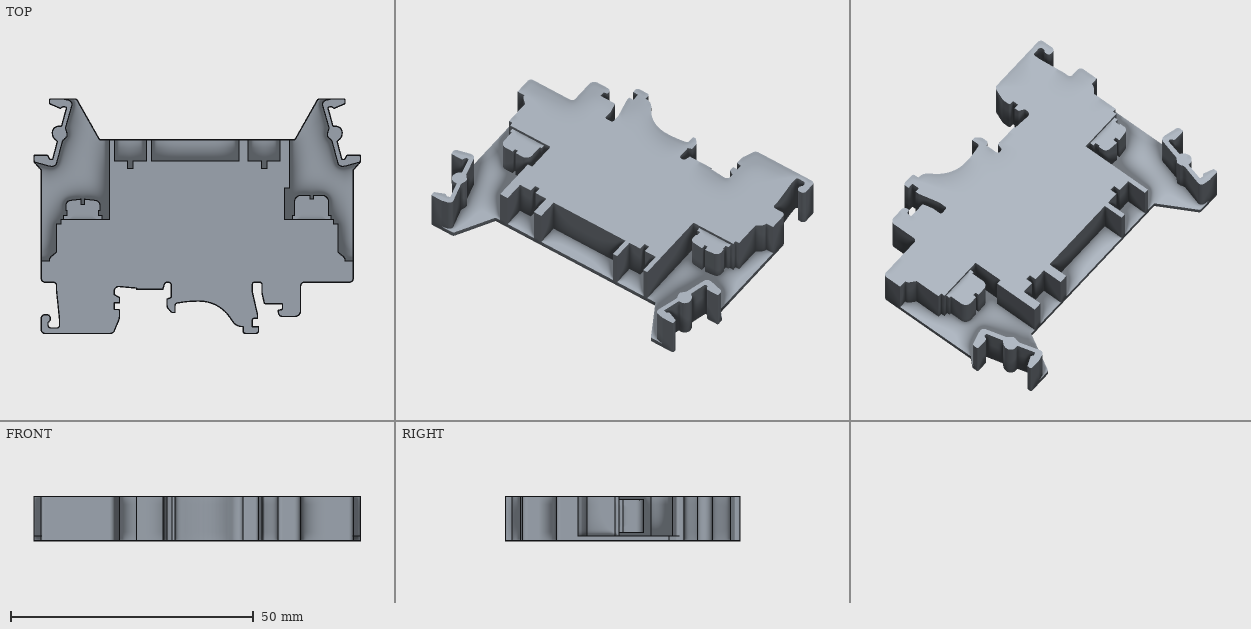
import math

import cadquery as cq


WIDTH = 67.33
HEIGHT = 48.4
THICKNESS = 9.2
PLATE = 1.05

HALF_WIDTH = WIDTH / 2
FLANK = 32.2
TOP_EDGE = 40.0
SHOULDER = 10.56
WALL_ROUND = 0.85

WING_ROOT_X = 20.15
WING_TOP_X = 24.9
CHIN_Y = 35.38
CHIN_FOOT_Y = 33.75
HOOK_LOW_TOP = 36.8
HOOK_LOW_FLAT = 36.1
PIVOT_X = -29.9
HOOK_TIP_X = 30.5

FOOT_RIGHT_X = -16.0
FOOT_NOTCH_X = -17.1
RAIL_SEAT_Y = 9.08
LATCH_Y = 3.5
LATCH_RIGHT_X = 21.33
LATCH_SEAT_Y = 6.1
LEG_LEFT_X = 9.47
LEG_RIGHT_X = 12.66
LEG_STEP_Y = 1.4
LEG_NOTCH_X = 11.39
ARCH_TOP = 6.66

LEFT_RECESS_X = 18.1
RIGHT_RECESS_X = 19.0
RIGHT_NICHE_X = 17.94
RIGHT_NICHE_TOP = 30.05
SCREW_SEAT_Y = 23.46
SEAT_END_X = 28.13
SEAT_STEP_Y = 22.6
FUNNEL_X = 29.0
FUNNEL_TOP_Y = 16.8
FUNNEL_END_X = 30.5
FUNNEL_END_Y = 15.55
FUNNEL_ROUND = 1.1
RECESS_BOTTOM_Y = 15.0
OVERSHOOT = 3.0

POCKET_FLOOR_Y = 35.56
KEY_FLOOR_Y = 34.05
SIDE_POCKET_X = 13.8
SIDE_POCKET_WIDTH = 6.6
KEY_WIDTH = 1.15
MID_POCKET_LEFT = -9.45
MID_POCKET_RIGHT = 8.63

SCREW_X = 23.57
SCREW_MARGIN = 0.68
WASHER_HALF = 3.97
WASHER_TOP_Y = 24.3
HEAD_HALF = 3.53
NECK_HALF = 3.25
SCREW_ROOT = 0.5
NECK_TOP_Y = 25.37
LEFT_HEAD_TOP_Y = 27.7
RIGHT_HEAD_TOP_Y = 28.5
DRIVE_SLOT_HALF = 0.37
LEFT_SLOT_FLOOR_Y = 26.65
RIGHT_SLOT_FLOOR_Y = 27.7


def prism(corners, z_low, z_high):
    """Extrude a closed outline whose corners are (x, y) or (x, y, rounding radius)."""
    spans = []
    count = len(corners)
    for i, corner in enumerate(corners):
        x, y = corner[:2]
        radius = corner[2] if len(corner) > 2 else 0
        if not radius:
            spans.append(((x, y), None, (x, y)))
            continue
        before = cq.Vector(*corners[i - 1][:2]) - cq.Vector(x, y)
        after = cq.Vector(*corners[(i + 1) % count][:2]) - cq.Vector(x, y)
        half_angle = before.getAngle(after) / 2
        setback = radius / math.tan(half_angle)
        to_arc = radius / math.sin(half_angle) - radius
        apex = cq.Vector(x, y)
        start = apex + before.normalized() * setback
        end = apex + after.normalized() * setback
        middle = apex + (before.normalized() + after.normalized()).normalized() * to_arc
        spans.append((start.toTuple()[:2], middle.toTuple()[:2], end.toTuple()[:2]))

    path = cq.Workplane("XY").workplane(offset=z_low).moveTo(*spans[0][2])
    for start, middle, end in spans[1:] + spans[:1]:
        path = path.lineTo(*start)
        if middle:
            path = path.threePointArc(middle, end)
    return path.wire().extrude(z_high - z_low)


def mirrored(corners):
    """Reflect corners in the YZ plane."""
    return [(-corner[0], *corner[1:]) for corner in corners]


def carrier_edge():
    """Outer edge of the left wing, from the flank up to the middle of the block."""
    return [
        (-FLANK, CHIN_FOOT_Y),
        (-HALF_WIDTH, CHIN_Y, 0.4),
        (-HALF_WIDTH, HOOK_LOW_TOP, 0.25),
        (-30.85, HOOK_LOW_TOP, 0.5),
        (-30.4, 35.9, 0.3),
        (-29.82, 35.9, 0.3),
        (-28.87, 39.65),
        (PIVOT_X, 40.5, 1.8),
        (PIVOT_X, 42.75, 1.35),
        (-28.0, 42.75),
        (-26.95, 46.6),
        (-27.65, 46.8, 0.2),
        (-28.2, 46.4),
        (-HOOK_TIP_X, 47.38, 0.3),
        (-HOOK_TIP_X, HEIGHT, 0.3),
        (-WING_TOP_X, HEIGHT, 0.6),
        (-WING_ROOT_X, TOP_EDGE),
    ]


def carrier_back():
    """Inner face of the left carrier, from its top down to the lower hook tip."""
    return [
        (-27.9, HEIGHT),
        (-25.6, 47.9, 0.9),
        (-27.15, 42.5),
        (-27.1, 42.0),
        (-26.88, 41.4),
        (-26.88, 40.65),
        (-27.78, 39.7),
        (-29.2, 34.45, 0.9),
        (-30.4, 34.5),
        (-HALF_WIDTH, CHIN_Y, 0.6),
        (-HALF_WIDTH, HOOK_LOW_FLAT),
    ]


def rail_edge():
    """Lower edge of the block, from the left flank to the right flank."""
    left_hook = [
        (-FLANK, SHOULDER, WALL_ROUND),
        (-29.0, SHOULDER, 0.65),
        (-29.05, 9.0),
        (-28.42, 2.9),
        (-28.42, 1.17, 0.45),
        (-30.75, 1.17, 0.6),
        (-30.75, 2.25),
        (-30.3, 2.75),
        (-30.3, 3.9, 0.7),
        (-FLANK, 3.9, 0.8),
        (-FLANK, 0, 0.8),
    ]
    fixed_foot = [
        (-17.3, 0, 1.0),
        (FOOT_RIGHT_X, 3.2, 2.5),
        (FOOT_RIGHT_X, 5.0, 0.3),
        (FOOT_NOTCH_X, 5.0),
        (FOOT_NOTCH_X, 6.3),
        (FOOT_RIGHT_X, 6.3),
        (FOOT_RIGHT_X, 7.4, 0.3),
        (FOOT_NOTCH_X, 8.05),
        (FOOT_NOTCH_X, 9.75, 0.9),
        (-12.5, 9.35),
        (-12.5, RAIL_SEAT_Y),
    ]
    tooth = [
        (-7.1, RAIL_SEAT_Y),
        (-6.65, SHOULDER, 0.6),
        (-5.4, SHOULDER, 0.55),
        (-5.4, 7.45),
        (-6.26, 7.1, 0.2),
        (-6.26, 5.4, 1.3),
        (-5.25, 4.33),
        (-4.54, 4.33),
    ]
    arch = [
        (-4.54, 6.2, 0.45),
        (-1.78, ARCH_TOP, 20.0),
        (4.42, ARCH_TOP, 7.5),
        (8.05, LEG_STEP_Y, 2.4),
    ]
    spring_leg = [
        (LEG_LEFT_X, LEG_STEP_Y),
        (LEG_LEFT_X, 0, 0.45),
        (LEG_RIGHT_X, 0, 0.6),
        (LEG_RIGHT_X, LEG_STEP_Y),
        (LEG_NOTCH_X, LEG_STEP_Y),
        (LEG_NOTCH_X, 3.1, 0.25),
        (12.45, 3.1),
        (12.45, 3.9),
        (LEG_NOTCH_X, 8.5),
        (LEG_NOTCH_X, SHOULDER, 0.4),
    ]
    latch = [
        (13.32, SHOULDER, 0.4),
        (13.32, 8.4),
        (13.85, LATCH_SEAT_Y, 0.4),
        (17.57, LATCH_SEAT_Y),
        (17.57, 5.0, 0.25),
        (16.7, 4.8),
        (16.7, LATCH_Y, 0.9),
        (LATCH_RIGHT_X, LATCH_Y, 1.2),
        (LATCH_RIGHT_X, SHOULDER, 0.75),
        (FLANK, SHOULDER, WALL_ROUND),
    ]
    return left_hook + fixed_foot + tooth + arch + spring_leg + latch


def housing():
    left_wing = carrier_edge()
    outline = rail_edge() + mirrored(left_wing) + left_wing[::-1]
    return prism(outline, 0, THICKNESS)


def funnel_edge():
    """Left wall of the main body under the screw seat, from the flank upward."""
    return [
        (-HALF_WIDTH - OVERSHOOT, RECESS_BOTTOM_Y),
        (-FUNNEL_END_X, RECESS_BOTTOM_Y),
        (-FUNNEL_END_X, FUNNEL_END_Y, FUNNEL_ROUND),
        (-FUNNEL_X, FUNNEL_TOP_Y),
        (-FUNNEL_X, SEAT_STEP_Y),
        (-SEAT_END_X, SEAT_STEP_Y),
        (-SEAT_END_X, SCREW_SEAT_Y),
    ]


def carrier_clearance():
    """Left recess edge that follows the back of the carrier and then clears the flank."""
    back = carrier_back()
    above_top = (back[0][0], HEIGHT + OVERSHOOT)
    outside_hook = (-HALF_WIDTH - OVERSHOOT, HOOK_LOW_FLAT)
    return [above_top, *back, outside_hook]


def left_recess():
    outline = funnel_edge() + [
        (-LEFT_RECESS_X, SCREW_SEAT_Y),
        (-LEFT_RECESS_X, HEIGHT + OVERSHOOT),
    ]
    outline += carrier_clearance()
    return prism(outline, PLATE, THICKNESS)


def right_recess():
    inner_wall = [
        (RIGHT_NICHE_X, SCREW_SEAT_Y),
        (RIGHT_NICHE_X, RIGHT_NICHE_TOP),
        (RIGHT_RECESS_X, RIGHT_NICHE_TOP),
        (RIGHT_RECESS_X, HEIGHT + OVERSHOOT),
    ]
    outline = mirrored(funnel_edge()) + inner_wall + mirrored(carrier_clearance())
    return prism(outline, PLATE, THICKNESS)


def pocket(left, right):
    return prism(
        [
            (left, POCKET_FLOOR_Y),
            (right, POCKET_FLOOR_Y),
            (right, TOP_EDGE + OVERSHOOT),
            (left, TOP_EDGE + OVERSHOOT),
        ],
        PLATE,
        THICKNESS,
    )


def keyed_pocket(centre):
    """Small pocket with a narrow key slot in the middle of its floor."""
    half = SIDE_POCKET_WIDTH / 2
    key = prism(
        [
            (centre - KEY_WIDTH / 2, KEY_FLOOR_Y),
            (centre + KEY_WIDTH / 2, KEY_FLOOR_Y),
            (centre + KEY_WIDTH / 2, TOP_EDGE),
            (centre - KEY_WIDTH / 2, TOP_EDGE),
        ],
        PLATE,
        THICKNESS,
    )
    return pocket(centre - half, centre + half).union(key)


def screw(centre, head_profile, head_top, slot_floor):
    """Clamping screw lying in the XY plane; head_profile is its right half above the washer."""
    right_half = [
        (WASHER_HALF, SCREW_SEAT_Y - SCREW_ROOT),
        (WASHER_HALF, WASHER_TOP_Y),
        *head_profile,
        (DRIVE_SLOT_HALF, head_top),
        (DRIVE_SLOT_HALF, slot_floor),
    ]
    outline = right_half + mirrored(right_half)[::-1]
    return prism(outline, PLATE + SCREW_MARGIN, THICKNESS - SCREW_MARGIN).translate((centre, 0, 0))


def left_screw():
    head = [
        (NECK_HALF, WASHER_TOP_Y),
        (NECK_HALF, NECK_TOP_Y),
        (HEAD_HALF, NECK_TOP_Y),
        (HEAD_HALF, 27.35, 1.1),
    ]
    return screw(-SCREW_X, head, LEFT_HEAD_TOP_Y, LEFT_SLOT_FLOOR_Y)


def right_screw():
    head = [
        (HEAD_HALF, WASHER_TOP_Y),
        (HEAD_HALF, RIGHT_HEAD_TOP_Y, 1.4),
    ]
    return screw(SCREW_X, head, RIGHT_HEAD_TOP_Y, RIGHT_SLOT_FLOOR_Y)


body = housing().cut(left_recess()).cut(right_recess())
body = body.cut(pocket(MID_POCKET_LEFT, MID_POCKET_RIGHT))
for side in (-1, 1):
    body = body.cut(keyed_pocket(side * SIDE_POCKET_X))

result = body.union(left_screw()).union(right_screw())